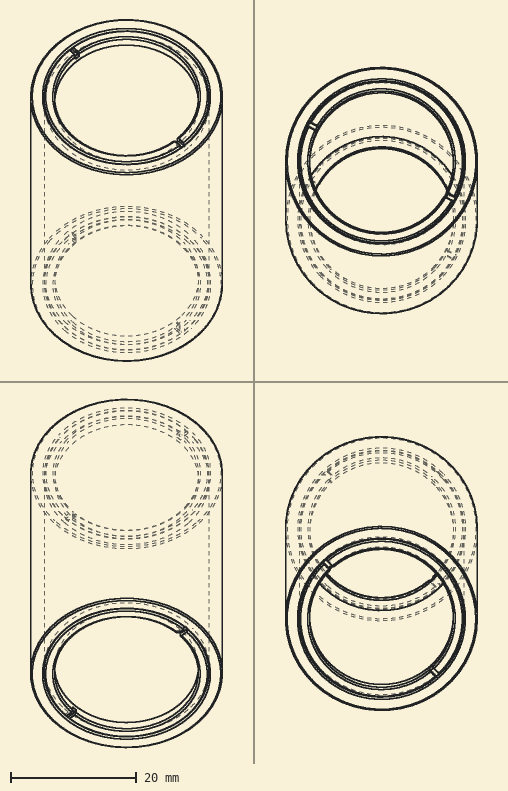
import cadquery as cq

LENGTH = 50.8
OUTER_RADIUS = 30.48 / 2
BORE_RADIUS = 13.1
HOUSING_RIM_CHAMFER = 0.25
BORE_CHAMFER_WIDTH = 0.25
BORE_CHAMFER_DEPTH = 0.45

RING_BORE_RADIUS = 22.86 / 2
RING_LENGTH = 1.85
RING_RIM_CHAMFER_WIDTH = 0.25
RING_RIM_CHAMFER_DEPTH = 0.45
RING_BORE_CHAMFER = 0.3

NOTCH_WIDTH = 0.76
NOTCH_DEPTH = 0.7

TOP = LENGTH / 2


def make_housing():
    """Tube with chamfered rims, revolved about Z from its wall section."""
    mouth_radius = BORE_RADIUS + BORE_CHAMFER_WIDTH
    rim_radius = OUTER_RADIUS - HOUSING_RIM_CHAMFER
    rim_height = TOP - HOUSING_RIM_CHAMFER
    bore_height = TOP - BORE_CHAMFER_DEPTH
    wall = (
        cq.Workplane("XZ")
        .moveTo(BORE_RADIUS, -bore_height)
        .lineTo(mouth_radius, -TOP)
        .lineTo(rim_radius, -TOP)
        .lineTo(OUTER_RADIUS, -rim_height)
        .lineTo(OUTER_RADIUS, rim_height)
        .lineTo(rim_radius, TOP)
        .lineTo(mouth_radius, TOP)
        .lineTo(BORE_RADIUS, bore_height)
        .close()
    )
    return wall.revolve(360, (0, 0, 0), (0, 1, 0))


def make_notch_cutter():
    """Bar along X whose underside drops at the ring bore, so the notch floors are chamfered there too."""
    floor = TOP - NOTCH_DEPTH
    chamfer_foot = floor - RING_BORE_CHAMFER
    stepped_disc = (
        cq.Workplane("XZ")
        .moveTo(0, TOP)
        .lineTo(0, chamfer_foot)
        .lineTo(RING_BORE_RADIUS, chamfer_foot)
        .lineTo(RING_BORE_RADIUS + RING_BORE_CHAMFER, floor)
        .lineTo(OUTER_RADIUS, floor)
        .lineTo(OUTER_RADIUS, TOP)
        .close()
        .revolve(360, (0, 0, 0), (0, 1, 0))
    )
    bar = cq.Workplane("XY").box(2 * OUTER_RADIUS, NOTCH_WIDTH, LENGTH)
    return stepped_disc.intersect(bar)


def make_end_ring():
    """Top-end ring with both rims of its outer face chamfered, notched on the +X and -X sides."""
    bottom = TOP - RING_LENGTH
    section = (
        cq.Workplane("XZ")
        .moveTo(RING_BORE_RADIUS, bottom)
        .lineTo(BORE_RADIUS, bottom)
        .lineTo(BORE_RADIUS, TOP - RING_RIM_CHAMFER_DEPTH)
        .lineTo(BORE_RADIUS - RING_RIM_CHAMFER_WIDTH, TOP)
        .lineTo(RING_BORE_RADIUS + RING_BORE_CHAMFER, TOP)
        .lineTo(RING_BORE_RADIUS, TOP - RING_BORE_CHAMFER)
        .close()
    )
    ring = section.revolve(360, (0, 0, 0), (0, 1, 0))
    return ring.cut(make_notch_cutter())


housing = make_housing()

end_rings = []
for turn in (0, 180):
    end_rings.append(make_end_ring().rotate((0, 0, 0), (1, 0, 0), turn))

result = cq.Compound.makeCompound([housing.val(), *[ring.val() for ring in end_rings]])